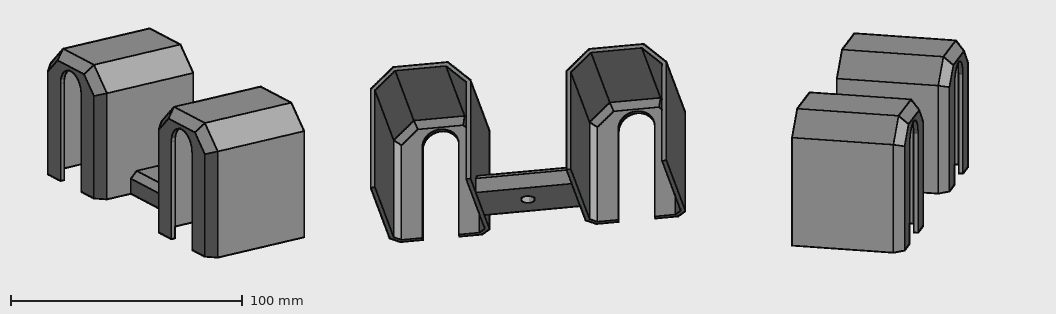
import cadquery as cq
import math

total_length = 130.0
cover_width = 44.0
cover_height = 59.0
cover_depth = 49.0
shoulder = 10.0
front_chamfer = 4.0
wall = 2.0
slot_width = 16.0
slot_height = 53.2
cover_offset = (total_length - cover_width) / 2

bar_length = total_length - 2 * cover_width
bar_width = 20.0
bar_height = 10.0
bar_chamfer = 3.0
bar_setback = 22.5
bar_center_y = cover_depth - bar_setback
screw_hole = 6.0
countersink = 12.1
countersink_angle = 90

leg_reduction = 2 - math.sqrt(2)


def hood_solid(inset):
    """Solid hood with every face except the back and bottom moved inwards by inset."""
    half_width = cover_width / 2 - inset
    top = cover_height - inset
    slope_leg = shoulder - inset * leg_reduction
    bevel_leg = front_chamfer - inset * leg_reduction
    block = (
        cq.Workplane("XZ", origin=(0, cover_depth, 0))
        .moveTo(-half_width, 0)
        .lineTo(-half_width, top - slope_leg)
        .lineTo(-half_width + slope_leg, top)
        .lineTo(half_width - slope_leg, top)
        .lineTo(half_width, top - slope_leg)
        .lineTo(half_width, 0)
        .close()
        .extrude(cover_depth - inset)
    )
    front_edges = block.faces("<Y").edges("not(<Z)")
    return front_edges.chamfer(bevel_leg)


def make_cover(center_x):
    """Hollow hood with a round-topped slot through its front wall."""
    radius = slot_width / 2
    spring_z = slot_height - radius
    slot = (
        cq.Workplane("XZ")
        .moveTo(-radius, 0)
        .lineTo(-radius, spring_z)
        .threePointArc((0, slot_height), (radius, spring_z))
        .lineTo(radius, 0)
        .close()
        .extrude(-cover_depth)
    )
    cover = hood_solid(0).cut(hood_solid(wall)).cut(slot)
    return cover.translate((center_x, 0, 0))


def make_bar():
    """Bar with beveled long top edges and a countersunk screw hole."""
    bar = (
        cq.Workplane("XY", origin=(0, bar_center_y, 0))
        .box(bar_length, bar_width, bar_height, centered=(True, True, False))
        .faces(">Z").edges("|X").chamfer(bar_chamfer)
    )
    return (
        bar.faces(">Z").workplane(origin=(0, bar_center_y, bar_height))
        .cskHole(screw_hole, countersink, countersink_angle)
    )


covers = [make_cover(side * cover_offset) for side in (-1, 1)]
bar = make_bar()

result = cq.Compound.makeCompound([*[cover.val() for cover in covers], bar.val()])